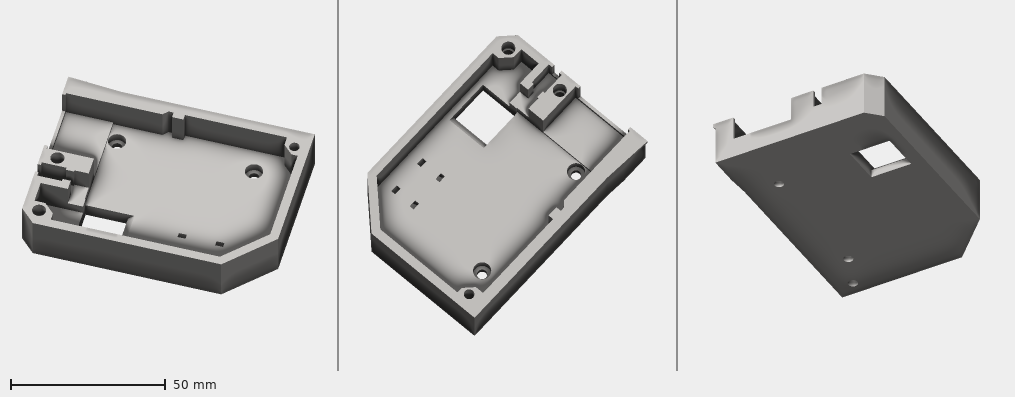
import cadquery as cq

LENGTH = 83.0
DEPTH = 59.3
HEIGHT = 15.85
FLARE_REACH = 1.4
FLARE_LENGTH = 18.3
FRONT_LEFT_CHAMFER = 4.9
FRONT_RIGHT_CHAMFER = 14.9

LIP_REACH = 0.8
LIP_HEIGHT = 1.25

FLOOR_Z = 5.0
FRONT_WALL = 2.9
RIGHT_WALL = 3.0
CAVITY_BACK_Y = 55.6
LEDGE_END_X = 16.9
LEDGE_JOG_Y = 19.4
RIB_LEFT_X = 36.7
RIB_WIDTH = 3.8
RIB_REACH = 1.9
BACK_JOG_RIGHT_X = 35.0
CAVITY_DIAGONAL = 13.2
CORNER_POST_CUT = 3.2
CORNER_POST_LEFT_X = 74.7
CORNER_POST_FRONT_Y = 49.3
FRONT_POST_RIGHT_X = 10.1
FRONT_POST_BACK_Y = 9.0
FRONT_POST_CUT = 3.5
SIDE_BAY_X = 3.0
SIDE_BAY_BACK_Y = 16.4

THIN_WALL = 1.1
BAY_FLOOR_Z = 5.9
BAY_FRONT_Y = 30.6
BAY_BACK_Y = 53.95
WINDOW_SILL_Z = 7.2
WINDOW_FRONT_Y = 31.8
WINDOW_BACK_Y = 53.2

SOCKET_FLOOR_Z = 8.3
SOCKET_FRONT_Y = 19.1
SOCKET_BACK_Y = 24.65
SOCKET_END_X = 9.4
NECK_FRONT_Y = 19.9
NECK_BACK_Y = 23.8
NECK_END_X = 12.1
OUTLET_BACK_Y = 24.3
SLOT_SILL_Z = 9.3
SLOT_FRONT_Y = 20.6
SLOT_BACK_Y = 23.6

OPENING_X = (17.2, 33.5)
OPENING_Y = (5.0, 19.7)
OPENING_BEVEL = 2.15

FLOOR_HOLE_CENTERS = [(20.0, 47.5), (65.9, 47.5)]
FLOOR_HOLE_DIAMETER = 3.3
FLOOR_BORE_DIAMETER = 5.9
FLOOR_BORE_DEPTH = 3.1
INSERT_CENTERS = [(5.5, 5.6), (5.5, 27.7)]
INSERT_DIAMETER = 4.6
INSERT_DEPTH = 5.8
PILOT_DIAMETER = 3.4
CORNER_HOLE_CENTER = (78.0, 52.5)

TIE_LEFT_XS = [49.2, 61.8]
TIE_WIDTH = 2.65
TIE_CENTER_Y = 11.95
TIE_CENTER_Z = 5.15
TIE_INNER_RADIUS = 3.15
TIE_OUTER_RADIUS = 4.8


def prism(points, bottom, top):
    return cq.Workplane("XY").workplane(offset=bottom).polyline(points).close().extrude(top - bottom)


def pocket(x_range, y_range, bottom):
    left, right = x_range
    front, back = y_range
    return prism([(left, front), (right, front), (right, back), (left, back)], bottom, HEIGHT)


def cylinder(center, diameter, bottom, top):
    disc = cq.Workplane("XY").workplane(offset=bottom).center(*center)
    return disc.circle(diameter / 2).extrude(top - bottom)


def outer_body():
    body = prism([
        (0, FRONT_LEFT_CHAMFER),
        (FRONT_LEFT_CHAMFER, 0),
        (LENGTH - FRONT_RIGHT_CHAMFER, 0),
        (LENGTH, FRONT_RIGHT_CHAMFER),
        (LENGTH, DEPTH),
        (FLARE_LENGTH, DEPTH),
        (0, DEPTH + FLARE_REACH),
    ], 0, HEIGHT)
    lip_y = DEPTH + FLARE_REACH
    wall_y = lip_y - LIP_REACH
    lip_bottom = HEIGHT - LIP_HEIGHT
    relief = (
        cq.Workplane("YZ")
        .polyline([(wall_y, 0), (lip_y, 0), (lip_y, lip_bottom), (wall_y, lip_bottom - LIP_REACH)])
        .close()
        .extrude(FLARE_LENGTH)
    )
    return body.cut(relief)


def main_cavity():
    right_x = LENGTH - RIGHT_WALL
    rib_right_x = RIB_LEFT_X + RIB_WIDTH
    rib_front_y = CAVITY_BACK_Y - RIB_REACH
    jog = CAVITY_BACK_Y - BAY_BACK_Y
    return prism([
        (FRONT_POST_RIGHT_X, FRONT_WALL),
        (right_x - CAVITY_DIAGONAL, FRONT_WALL),
        (right_x, FRONT_WALL + CAVITY_DIAGONAL),
        (right_x, CORNER_POST_FRONT_Y),
        (CORNER_POST_LEFT_X + CORNER_POST_CUT, CORNER_POST_FRONT_Y),
        (CORNER_POST_LEFT_X, CORNER_POST_FRONT_Y + CORNER_POST_CUT),
        (CORNER_POST_LEFT_X, CAVITY_BACK_Y),
        (rib_right_x, CAVITY_BACK_Y),
        (rib_right_x, rib_front_y),
        (RIB_LEFT_X, rib_front_y),
        (RIB_LEFT_X, CAVITY_BACK_Y),
        (BACK_JOG_RIGHT_X, CAVITY_BACK_Y),
        (BACK_JOG_RIGHT_X - jog, BAY_BACK_Y),
        (LEDGE_END_X, BAY_BACK_Y),
        (LEDGE_END_X, LEDGE_JOG_Y),
        (OPENING_X[0], LEDGE_JOG_Y),
        (OPENING_X[0], SIDE_BAY_BACK_Y),
        (SIDE_BAY_X, SIDE_BAY_BACK_Y),
        (SIDE_BAY_X, FRONT_POST_BACK_Y),
        (FRONT_POST_RIGHT_X - FRONT_POST_CUT, FRONT_POST_BACK_Y),
        (FRONT_POST_RIGHT_X, FRONT_POST_BACK_Y - FRONT_POST_CUT),
    ], FLOOR_Z, HEIGHT)


def connector_bay():
    bay = pocket((THIN_WALL, LEDGE_END_X), (BAY_FRONT_Y, BAY_BACK_Y), BAY_FLOOR_Z)
    window = pocket((0, THIN_WALL), (WINDOW_FRONT_Y, WINDOW_BACK_Y), WINDOW_SILL_Z)
    return bay.union(window)


def socket_bay():
    socket = pocket((THIN_WALL, SOCKET_END_X), (SOCKET_FRONT_Y, SOCKET_BACK_Y), SOCKET_FLOOR_Z)
    neck = pocket((SOCKET_END_X, NECK_END_X), (NECK_FRONT_Y, NECK_BACK_Y), SOCKET_FLOOR_Z)
    outlet = pocket((NECK_END_X, OPENING_X[0]), (SIDE_BAY_BACK_Y, OUTLET_BACK_Y), SOCKET_FLOOR_Z)
    slot = pocket((0, THIN_WALL), (SLOT_FRONT_Y, SLOT_BACK_Y), SLOT_SILL_Z)
    return socket.union(neck).union(outlet).union(slot)


def floor_opening():
    left, right = OPENING_X
    front, back = OPENING_Y
    profile = [
        (left, 0),
        (right - OPENING_BEVEL, 0),
        (right - OPENING_BEVEL, FLOOR_Z - OPENING_BEVEL),
        (right, FLOOR_Z),
        (left, FLOOR_Z),
    ]
    return cq.Workplane("XZ", origin=(0, front, 0)).polyline(profile).close().extrude(front - back)


def floor_hole(center):
    hole = cylinder(center, FLOOR_HOLE_DIAMETER, 0, FLOOR_Z)
    return hole.union(cylinder(center, FLOOR_BORE_DIAMETER, FLOOR_Z - FLOOR_BORE_DEPTH, FLOOR_Z))


def insert_hole(center):
    pilot = cylinder(center, PILOT_DIAMETER, FLOOR_Z, HEIGHT)
    return pilot.union(cylinder(center, INSERT_DIAMETER, HEIGHT - INSERT_DEPTH, HEIGHT))


def tie_channel(left_x):
    return (
        cq.Workplane("YZ", origin=(left_x, TIE_CENTER_Y, TIE_CENTER_Z))
        .circle(TIE_OUTER_RADIUS)
        .circle(TIE_INNER_RADIUS)
        .extrude(TIE_WIDTH)
    )


result = outer_body().cut(main_cavity()).cut(connector_bay()).cut(socket_bay()).cut(floor_opening())
for hole_center in FLOOR_HOLE_CENTERS:
    result = result.cut(floor_hole(hole_center))
for hole_center in INSERT_CENTERS:
    result = result.cut(insert_hole(hole_center))
result = result.cut(cylinder(CORNER_HOLE_CENTER, PILOT_DIAMETER, 0, HEIGHT))
for tie_x in TIE_LEFT_XS:
    result = result.cut(tie_channel(tie_x))